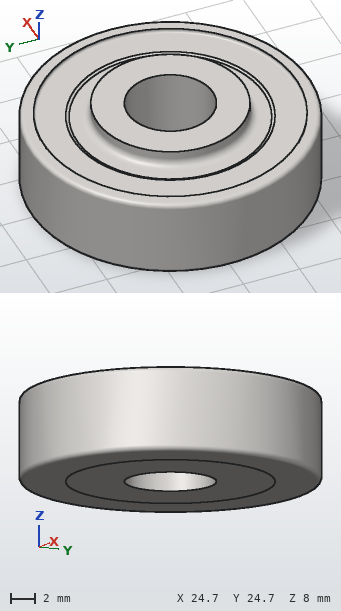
import cadquery as cq

outer_radius = 12.35
rim_height = 7.01
hub_height = 8.0
edge_fillet = 0.42

rim_inner_radius = 11.16
shield_height = 6.67
shield_fillet = 0.22
joint_radius = 8.55

bore_radius = 3.75
hub_radius = 6.5
hub_fillet = 0.7
inner_face_radius = 8.27
inner_face_height = 6.57
hub_fillet_center_height = inner_face_height + hub_fillet


def make_outer_ring():
    """Revolve the rim, its filleted inner wall and the recessed top face."""
    ring = (
        cq.Workplane("XZ")
        .moveTo(joint_radius, 0)
        .lineTo(outer_radius, 0)
        .lineTo(outer_radius, rim_height)
        .lineTo(rim_inner_radius, rim_height)
        .lineTo(rim_inner_radius, shield_height + shield_fillet)
        .radiusArc((rim_inner_radius - shield_fillet, shield_height), shield_fillet)
        .lineTo(joint_radius, shield_height)
        .close()
        .revolve(360, (0, 0, 0), (0, 1, 0))
    )
    outer_edges = cq.selectors.RadiusNthSelector(-1)
    return ring.edges("%CIRCLE").edges(outer_edges).fillet(edge_fillet)


def make_inner_ring():
    """Revolve the bored hub, its concave foot and the sunken face around it."""
    return (
        cq.Workplane("XZ")
        .moveTo(bore_radius, 0)
        .lineTo(joint_radius, 0)
        .lineTo(joint_radius, shield_height)
        .lineTo(inner_face_radius, inner_face_height)
        .lineTo(hub_radius + hub_fillet, inner_face_height)
        .radiusArc((hub_radius, hub_fillet_center_height), hub_fillet)
        .lineTo(hub_radius, hub_height)
        .lineTo(bore_radius, hub_height)
        .close()
        .revolve(360, (0, 0, 0), (0, 1, 0))
    )


outer_ring = make_outer_ring()
inner_ring = make_inner_ring()

result = cq.Compound.makeCompound([outer_ring.val(), inner_ring.val()])